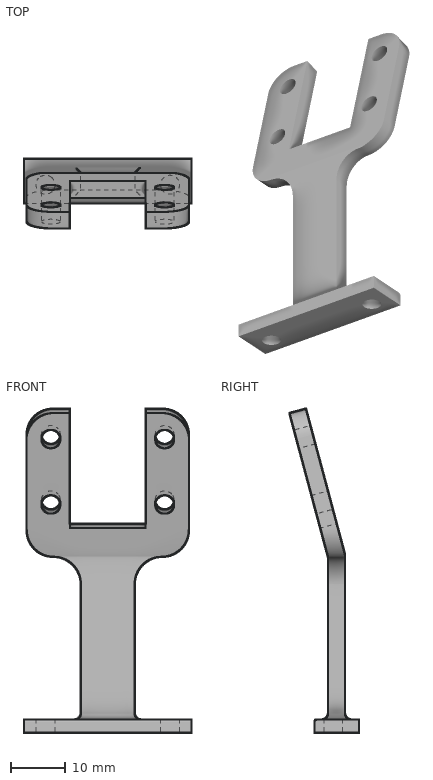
import cadquery as cq
import math

base_length = 31.0
base_width = 8.3
base_height = 2.5
base_edge_radius = 0.5
base_hole_diameter = 3.5
base_hole_spacing = 23.0
base_hole_front_offset = 3.5

thickness = 3.2
stem_front_y = -1.65
stem_width = 10.0
foot_fillet = 1.1

lean_angle = 15.0
overall_height = 59.87
overall_depth = 12.92
fork_corner_radius = 5.0
fork_width = stem_width + 4 * fork_corner_radius
slot_width = 14.0
slot_depth = 22.0
fork_hole_diameter = 3.5
fork_hole_spacing_x = 21.0
fork_hole_pitch = 12.5
fork_hole_top_offset = 5.0

lean = math.radians(lean_angle)
stem_back_y = stem_front_y + thickness
tip_front_y = base_width / 2 - overall_depth
tip_front_z = overall_height - thickness * math.sin(lean)
bend_front_z = tip_front_z - (stem_front_y - tip_front_y) / math.tan(lean)
bend_back_z = bend_front_z + thickness * math.tan(lean / 2)

fork_plane = cq.Plane(
    origin=(0, tip_front_y, tip_front_z),
    xDir=(1, 0, 0),
    normal=(0, -math.cos(lean), -math.sin(lean)),
)


def make_base():
    """Flat base bar with a rounded front top edge and two screw holes."""
    base = cq.Workplane("XY").box(base_length, base_width, base_height, centered=(True, True, False))
    base = base.faces(">Z").edges("<Y").fillet(base_edge_radius)
    return (
        base.faces(">Z")
        .workplane(origin=(0, base_hole_front_offset - base_width / 2, base_height))
        .rarray(base_hole_spacing, 1, 2, 1)
        .hole(base_hole_diameter)
    )


def make_bent_strip():
    """Side profile of the stem and leaning fork, extruded across the fork width."""
    tip_back_y = tip_front_y + thickness * math.cos(lean)
    return (
        cq.Workplane("YZ")
        .moveTo(stem_front_y, base_height)
        .lineTo(stem_front_y, bend_front_z)
        .lineTo(tip_front_y, tip_front_z)
        .lineTo(tip_back_y, overall_height)
        .lineTo(stem_back_y, bend_back_z)
        .lineTo(stem_back_y, base_height)
        .close()
        .extrude(fork_width / 2, both=True)
    )


def make_front_outline():
    """Prism along Y: narrow stem flaring through matching arcs into the wide fork."""
    half_stem = stem_width / 2
    half_fork = fork_width / 2
    radius = fork_corner_radius
    low_z = bend_front_z - radius
    high_z = bend_front_z + radius
    return (
        cq.Workplane("XZ")
        .moveTo(-half_stem, base_height)
        .lineTo(half_stem, base_height)
        .lineTo(half_stem, low_z)
        .radiusArc((half_stem + radius, bend_front_z), radius)
        .radiusArc((half_fork, high_z), -radius)
        .lineTo(half_fork, overall_height)
        .lineTo(-half_fork, overall_height)
        .lineTo(-half_fork, high_z)
        .radiusArc((radius - half_fork, bend_front_z), -radius)
        .radiusArc((-half_stem, low_z), radius)
        .close()
        .extrude(overall_height, both=True)
    )


def round_fork_tips(body):
    """Round the two outer top corners, square to the leaning plate."""
    for side in (-1, 1):
        corner = cq.selectors.NearestToPointSelector(
            (side * fork_width / 2, tip_front_y + thickness / 2, overall_height)
        )
        body = body.edges(corner).fillet(fork_corner_radius)
    return body


def cut_fork(body):
    """Open the slot between the arms and drill two holes in each arm."""
    slot = (
        cq.Workplane(fork_plane)
        .rect(slot_width, 2 * slot_depth)
        .extrude(thickness, both=True)
    )
    holes = (
        cq.Workplane(fork_plane)
        .center(0, -fork_hole_top_offset - fork_hole_pitch / 2)
        .rarray(fork_hole_spacing_x, fork_hole_pitch, 2, 2)
        .circle(fork_hole_diameter / 2)
        .extrude(2 * thickness, both=True)
    )
    return body.cut(slot).cut(holes)


def fillet_foot(body):
    """Blend the stem into the base plate all round."""
    margin = 0.1
    foot_box = cq.selectors.BoxSelector(
        (-stem_width / 2 - margin, stem_front_y - margin, base_height - margin),
        (stem_width / 2 + margin, stem_back_y + margin, base_height + margin),
    )
    return body.edges(foot_box).fillet(foot_fillet)


upright = make_bent_strip().intersect(make_front_outline())
upright = cut_fork(round_fork_tips(upright))
result = fillet_foot(make_base().union(upright))